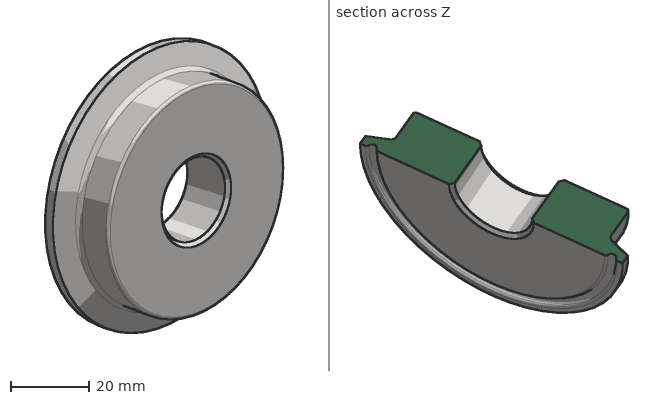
import cadquery as cq
import math

length = 15.875
flange_radius = 77.47 / 2
hub_radius = 63.5 / 2
rim_width = 2.87
flange_back_angle = math.radians(20)
neck_fillet = 1.5
hub_edge_fillet = 0.79

bore_radius = 11.4
bore_chamfer = 1.1

groove_centre_radius = 35.3
groove_bottom_radius = 1.19
groove_lip_radius = 0.79
groove_half_width = 1.9


def make_body():
    """Turned blank: flange with a tapered back, and a plain hub."""
    taper_end = rim_width + (flange_radius - hub_radius) * math.tan(flange_back_angle)
    profile = (
        cq.Workplane("XY")
        .moveTo(0, 0)
        .lineTo(0, flange_radius)
        .lineTo(rim_width, flange_radius)
        .lineTo(taper_end, hub_radius)
        .lineTo(length, hub_radius)
        .lineTo(length, 0)
        .close()
    )
    body = profile.revolve(360, (0, 0, 0), (1, 0, 0))
    neck_centre = (taper_end, 0, 0)
    body = body.edges(cq.selectors.NearestToPointSelector(neck_centre)).fillet(neck_fillet)
    return body.faces(">X").edges().fillet(hub_edge_fillet)


def make_bore():
    """Through bore with its two end chamfers, as a solid to remove."""
    mouth_radius = bore_radius + bore_chamfer
    profile = (
        cq.Workplane("XY")
        .moveTo(0, 0)
        .lineTo(0, mouth_radius)
        .lineTo(bore_chamfer, bore_radius)
        .lineTo(length - bore_chamfer, bore_radius)
        .lineTo(length, mouth_radius)
        .lineTo(length, 0)
        .close()
    )
    return profile.revolve(360, (0, 0, 0), (1, 0, 0))


def make_groove():
    """Ring to remove: one bottom arc tangent to a rounded lip on each side."""
    centre_distance = groove_bottom_radius + groove_lip_radius
    wall_angle = math.asin(groove_half_width / centre_distance)
    bottom_centre_x = groove_lip_radius - centre_distance * math.cos(wall_angle)
    groove_depth = bottom_centre_x + groove_bottom_radius

    tangent_x = groove_lip_radius * (1 - math.cos(wall_angle))
    tangent_offset = groove_bottom_radius * math.sin(wall_angle)
    lip_mid_x = groove_lip_radius * (1 - math.cos(wall_angle / 2))
    lip_mid_offset = groove_half_width - groove_lip_radius * math.sin(wall_angle / 2)

    profile = (
        cq.Workplane("XY")
        .moveTo(0, groove_centre_radius - groove_half_width)
        .threePointArc(
            (lip_mid_x, groove_centre_radius - lip_mid_offset),
            (tangent_x, groove_centre_radius - tangent_offset),
        )
        .threePointArc(
            (groove_depth, groove_centre_radius),
            (tangent_x, groove_centre_radius + tangent_offset),
        )
        .threePointArc(
            (lip_mid_x, groove_centre_radius + lip_mid_offset),
            (0, groove_centre_radius + groove_half_width),
        )
        .close()
    )
    return profile.revolve(360, (0, 0, 0), (1, 0, 0))


result = make_body().cut(make_bore()).cut(make_groove())